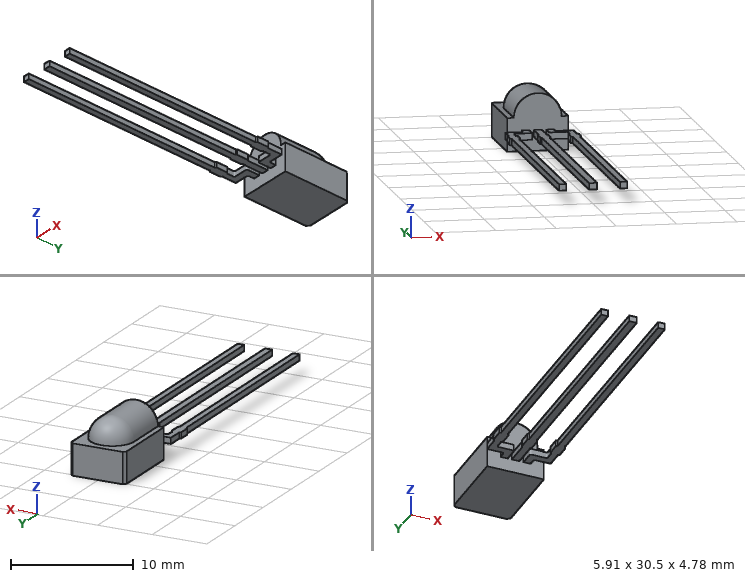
import cadquery as cq

total_length = 30.5
housing_width = 5.05
housing_length = 6.9
base_height = 2.8
corner_chamfer = 0.25

lens_radius = 1.98
lens_center_y = 4.25

lead_length = total_length - housing_length
lead_pitch = 2.53
lead_width = 0.6
middle_lead_width = 0.67
lead_bottom = 1.2
lead_thickness = 0.55
stub_inner_x = 0.7
stub_outer_x = 1.35
crossbar_start = 0.67
crossbar_end = 1.35
bend_radius = 0.12
stub_radius = 0.15

stop_width = 0.85
stop_start = 2.23
stop_end = 3.35
stop_taper = 0.12


def make_housing():
    """Block with two chamfered back corners and a domed lens on top."""
    block = (
        cq.Workplane("XY")
        .box(housing_width, housing_length, base_height, centered=(True, False, False))
        .edges("|Z and >Y")
        .chamfer(corner_chamfer)
    )
    cylinder = (
        cq.Workplane("XZ", origin=(0, 0, base_height))
        .circle(lens_radius)
        .extrude(-lens_center_y)
    )
    dome = cq.Workplane("XY", origin=(0, lens_center_y, base_height)).sphere(lens_radius)
    upper_half = (
        cq.Workplane("XY", origin=(0, 0, base_height))
        .box(housing_width, housing_length, lens_radius, centered=(True, False, False))
    )
    lens = cylinder.union(dome).intersect(upper_half)
    return block.union(lens)


def extrude_lead(outline):
    """Plate of lead thickness with the given XY outline."""
    plane = cq.Workplane("XY", origin=(0, 0, lead_bottom))
    return plane.polyline(outline).close().extrude(lead_thickness)


def make_stop(center_x, shaft_width):
    """Widened stretch of a lead, tapering back to the shaft at both ends."""
    shaft_half = shaft_width / 2
    stop_half = stop_width / 2
    right_side = [
        (shaft_half, -stop_start + stop_taper),
        (stop_half, -stop_start),
        (stop_half, -stop_end),
        (shaft_half, -stop_end - stop_taper),
    ]
    left_side = [(-x, y) for x, y in reversed(right_side)]
    return extrude_lead([(center_x + x, y) for x, y in right_side + left_side])


def make_middle_lead():
    half_width = middle_lead_width / 2
    shaft = extrude_lead([
        (-half_width, 0),
        (half_width, 0),
        (half_width, -lead_length),
        (-half_width, -lead_length),
    ])
    return shaft.union(make_stop(0, middle_lead_width))


def round_corner(lead, x, y, radius):
    """Fillet the vertical edge of a lead at (x, y)."""
    middle_height = lead_bottom + lead_thickness / 2
    corner = cq.selectors.NearestToPointSelector((x, y, middle_height))
    return lead.edges("|Z").edges(corner).fillet(radius)


def make_outer_lead(side):
    """Cranked lead on the +X side (side = 1) or the -X side (side = -1)."""
    shaft_inner_x = lead_pitch - lead_width / 2
    shaft_outer_x = lead_pitch + lead_width / 2
    outline = [
        (stub_inner_x, 0),
        (stub_outer_x, 0),
        (stub_outer_x, -crossbar_start),
        (shaft_outer_x, -crossbar_start),
        (shaft_outer_x, -lead_length),
        (shaft_inner_x, -lead_length),
        (shaft_inner_x, -crossbar_end),
        (stub_inner_x, -crossbar_end),
    ]
    shaft = extrude_lead([(side * x, y) for x, y in outline])
    stub_corners = [(stub_outer_x, -crossbar_start), (stub_inner_x, -crossbar_end)]
    for x, y in stub_corners:
        shaft = round_corner(shaft, side * x, y, stub_radius)
    shaft = round_corner(shaft, side * shaft_inner_x, -crossbar_end, bend_radius)
    return shaft.union(make_stop(side * lead_pitch, lead_width))


housing = make_housing()
middle_lead = make_middle_lead()
outer_leads = [make_outer_lead(side) for side in (-1, 1)]

result = cq.Compound.makeCompound([
    housing.val(),
    middle_lead.val(),
    *[lead.val() for lead in outer_leads],
])